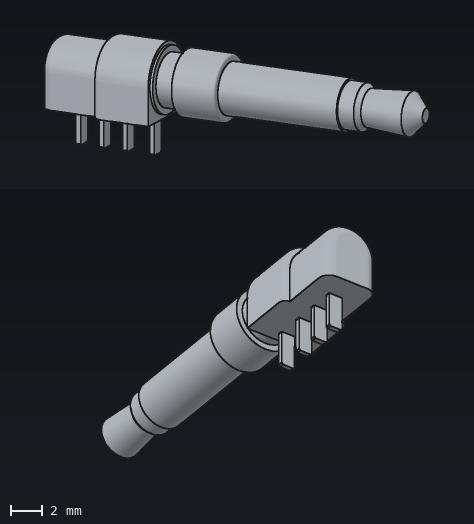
import cadquery as cq


HOUSING_BOTTOM_Z = -2.5
REAR_BLOCK_RADIUS = 2.0
REAR_BLOCK_FILLET = 0.8
FRONT_BLOCK_RADIUS = 2.5
FRONT_BLOCK_FILLET = 0.5
FRONT_BLOCK_START = 4.0
FRONT_BLOCK_END = 8.0

COLLAR_DIAMETER = 4.5
GROOVE_DIAMETER = 3.6
FLANGE_THICKNESS = 0.2
FLANGE_END = FRONT_BLOCK_END + FLANGE_THICKNESS
COLLAR_START = 9.55
COLLAR_END = 12.6
COLLAR_FILLET = 0.2

SHAFT_DIAMETER = 3.5
SHAFT_END = 21.1
SHOULDER_DIAMETER = 3.2
SHOULDER_CHAMFER_START = 22.25
SHOULDER_END = 22.6
TIP_NECK_DIAMETER = 2.55
TIP_DIAMETER = 3.0
TIP_FLARE_END = 25.5
TIP_CONE_START = 25.6
TIP_END_DIAMETER = 1.0
OVERALL_LENGTH = 26.6

PIN_POSITIONS_X = (1.95, 3.62, 5.3, 7.22)
PIN_THICKNESS = 0.35
PIN_WIDTH = 1.0
PIN_END_Z = -5.0
PIN_CHAMFER = 0.1


def arch_block(radius, start, end, rear_fillet):
    """Arch-section block along X with its rear outline rounded, except along the bottom edge."""
    block = (
        cq.Workplane("YZ", origin=(start, 0, 0))
        .moveTo(-radius, HOUSING_BOTTOM_Z)
        .lineTo(-radius, 0)
        .threePointArc((0, radius), (radius, 0))
        .lineTo(radius, HOUSING_BOTTOM_Z)
        .close()
        .extrude(end - start)
    )
    bottom_edge = cq.selectors.DirectionMinMaxSelector(cq.Vector(0, 0, 1), False)
    rear_edges = block.faces("<X").edges(cq.selectors.InverseSelector(bottom_edge))
    return rear_edges.fillet(rear_fillet)


def plug():
    """Turned collar, shaft and tip, revolved about X."""
    collar_radius = COLLAR_DIAMETER / 2
    profile = (
        cq.Workplane("XY")
        .moveTo(FRONT_BLOCK_START, 0)
        .lineTo(FRONT_BLOCK_START, GROOVE_DIAMETER / 2)
        .lineTo(FRONT_BLOCK_END, GROOVE_DIAMETER / 2)
        .lineTo(FRONT_BLOCK_END, collar_radius)
        .lineTo(FLANGE_END, collar_radius)
        .lineTo(FLANGE_END, GROOVE_DIAMETER / 2)
        .lineTo(COLLAR_START, GROOVE_DIAMETER / 2)
        .lineTo(COLLAR_START, collar_radius)
        .lineTo(COLLAR_END - COLLAR_FILLET, collar_radius)
        .radiusArc((COLLAR_END, collar_radius - COLLAR_FILLET), COLLAR_FILLET)
        .lineTo(COLLAR_END, SHAFT_DIAMETER / 2)
        .lineTo(SHAFT_END, SHAFT_DIAMETER / 2)
        .lineTo(SHAFT_END, SHOULDER_DIAMETER / 2)
        .lineTo(SHOULDER_CHAMFER_START, SHOULDER_DIAMETER / 2)
        .lineTo(SHOULDER_END, TIP_NECK_DIAMETER / 2)
        .lineTo(TIP_FLARE_END, TIP_DIAMETER / 2)
        .lineTo(TIP_CONE_START, TIP_DIAMETER / 2)
        .lineTo(OVERALL_LENGTH, TIP_END_DIAMETER / 2)
        .lineTo(OVERALL_LENGTH, 0)
        .close()
    )
    return profile.revolve(360, (0, 0, 0), (1, 0, 0))


def pin(x):
    """Flat contact pin below the housing, its end chamfered on the two narrow sides."""
    return (
        cq.Workplane("XY", origin=(x, 0, HOUSING_BOTTOM_Z))
        .rect(PIN_THICKNESS, PIN_WIDTH)
        .extrude(PIN_END_Z - HOUSING_BOTTOM_Z)
        .faces("<Z")
        .edges("|X")
        .chamfer(PIN_CHAMFER)
    )


result = arch_block(REAR_BLOCK_RADIUS, 0, FRONT_BLOCK_START, REAR_BLOCK_FILLET)
result = result.union(arch_block(FRONT_BLOCK_RADIUS, FRONT_BLOCK_START, FRONT_BLOCK_END, FRONT_BLOCK_FILLET))
result = result.union(plug())
for pin_x in PIN_POSITIONS_X:
    result = result.union(pin(pin_x))